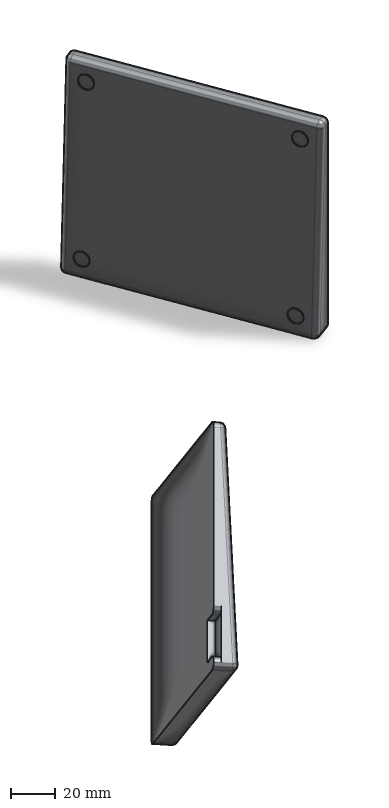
import cadquery as cq
import math

width = 128.0
height = 116.0
top_depth = 5.9
bottom_depth = 11.8
edge_radius = 3.0

foot_diameter = 8.0
foot_recess_depth = 0.5
foot_spacing_x = 106.0
foot_spacing_z = 94.0

notch_depth = 3.6
notch_length = 12.8
notch_bottom = -51.6
notch_top = -32.0
mouth_radius = 3.2

slope = (bottom_depth - top_depth) / height
tilt = math.degrees(math.atan(slope))


def make_wedge():
    """Wedge with rounded corners and a rounded rim around the front face."""
    wedge = (
        cq.Workplane("YZ")
        .moveTo(0, -height / 2)
        .lineTo(-bottom_depth, -height / 2)
        .lineTo(-top_depth, height / 2)
        .lineTo(0, height / 2)
        .close()
        .extrude(width / 2, both=True)
    )
    wedge = wedge.edges("|Y").fillet(edge_radius)
    return wedge.faces("<Y").edges().fillet(edge_radius)


def make_foot_recesses():
    """Four discs sunk square to the sloped front face."""
    middle_depth = (top_depth + bottom_depth) / 2
    foot_pitch_on_slope = foot_spacing_z / math.cos(math.radians(tilt))
    discs = (
        cq.Workplane("XZ")
        .rarray(foot_spacing_x, foot_pitch_on_slope, 2, 2)
        .circle(foot_diameter / 2)
        .extrude(-foot_recess_depth)
    )
    return discs.rotate((0, 0, 0), (1, 0, 0), -tilt).translate((0, -middle_depth, 0))


def make_notch():
    """Blind slot whose mouth flares out with a quarter round above and below."""
    side = -width / 2
    throat = side + mouth_radius
    end = side + notch_length
    bend = mouth_radius * math.sqrt(0.5)
    return (
        cq.Workplane("XZ")
        .moveTo(side, notch_bottom - mouth_radius)
        .threePointArc(
            (throat - bend, notch_bottom - mouth_radius + bend),
            (throat, notch_bottom),
        )
        .lineTo(end, notch_bottom)
        .lineTo(end, notch_top)
        .lineTo(throat, notch_top)
        .threePointArc(
            (throat - bend, notch_top + mouth_radius - bend),
            (side, notch_top + mouth_radius),
        )
        .close()
        .extrude(notch_depth)
    )


result = make_wedge().cut(make_foot_recesses()).cut(make_notch())